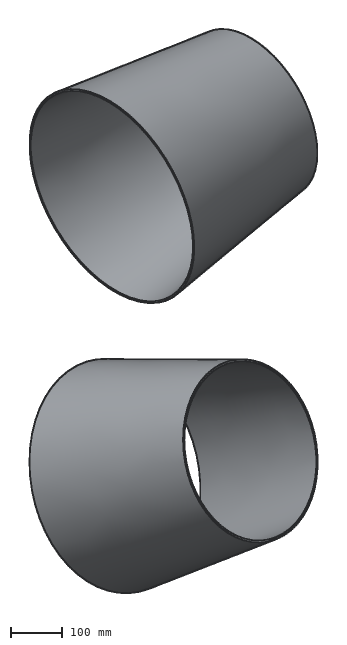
import cadquery as cq

large_diameter = 458.0
small_diameter = 358.0
length = 381.0
wall = 4.0

large_radius = large_diameter / 2
small_radius = small_diameter / 2

wall_section = cq.Workplane("XY").polyline([
    (large_radius - wall, 0),
    (large_radius, 0),
    (small_radius, length),
    (small_radius - wall, length),
]).close()

result = wall_section.revolve(360, (0, 0, 0), (0, 1, 0))